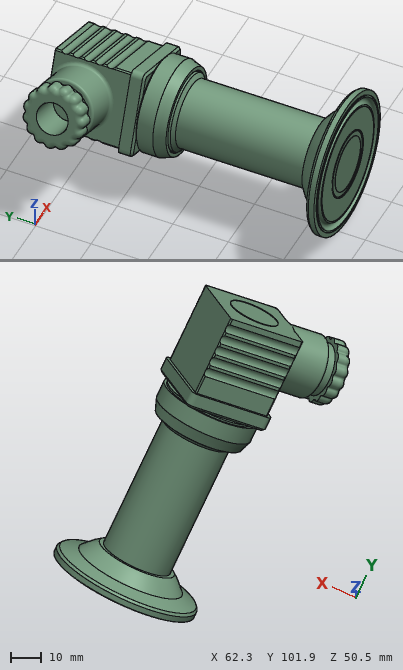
import cadquery as cq
import math

HOUSING_TURN = 20.0

FLANGE_DIA = 50.5
FACE_DIA = 47.1
FACE_HEIGHT = 0.3
RIM_TOP = 2.3
RIM_TOP_SLOPE_DIA = 49.1
RIM_SLOPE_START = 3.3
CLAMP_CONE_DIA = 37.3
CLAMP_CONE_TOP = 5.3
HUB_TOP_DIA = 27.0
HUB_TOP = 10.2
HUB_BULGE = 0.2
STEM_DIA = 24.0
GROOVE_CENTER_DIA = 43.1
GROOVE_RADIUS = 1.3
GROOVE_LEDGE_DIA = 39.3
GROOVE_LEDGE_DEPTH = 0.1
MEMBRANE_OUTER_DIA = 23.5
MEMBRANE_SLOT_INNER_DIA = 22.7
MEMBRANE_SLOT_DEPTH = 0.3
MEMBRANE_DIA = 19.4
MEMBRANE_LEDGE_DEPTH = 0.1

NECK_START = 56.6
NECK_END = 57.7
NECK_DIA = 27.3
COLLAR_START = 58.3
COLLAR_RECESS_DIA = 28.3
COLLAR_RECESS_FLOOR = 58.9
COLLAR_START_DIA = 31.1
COLLAR_DIA = 34.0
COLLAR_CONE_TOP = 62.4
COLLAR_TOP = 68.3
COLLAR_GAP_DIA = 32.1

PLATE_SIDE = 30.2
PLATE_START = 68.9
PLATE_END = 74.0
PLATE_CORNER_RADIUS = 2.0
PLATE_EDGE_CHAMFER = 0.8
HOUSING_SIDE = 27.5
HOUSING_END = 101.7
HOUSING_CHAMFER = 0.5
END_DISC_DIA = 17.1
TOTAL_LENGTH = 101.9

FLUTE_COUNT = 5
FLUTE_PITCH = 4.1
FIRST_FLUTE = 81.8
FLUTE_RADIUS = 2.0
FLUTE_DEPTH = 0.66

GLAND_Y = 90.7
BARREL_DIA = 21.9
BARREL_END = 27.5
BARREL_END_FILLET = 0.8
BARREL_ROOT_FILLET = 1.1
GLAND_NECK_DIA = 18.0
NUT_START = 30.8
NUT_END = 36.0
LOBE_COUNT = 15
LOBE_RADIUS = 2.1
NUT_DIA = 22.4
NUT_VALLEY_DIA = 20.6
NUT_FILLET = 2.0
BORE_DIA = 11.3
BORE_DEPTH = 13.8


def cylinder_y(diameter, start, end):
    """Solid cylinder on the stem axis between two Y positions."""
    return cq.Workplane("XZ", origin=(0, start, 0)).circle(diameter / 2).extrude(start - end)


def cylinder_x(diameter, start, end):
    """Solid cylinder on the gland axis, running outward toward -X."""
    plane = cq.Workplane("YZ", origin=(-start, GLAND_Y, 0))
    return plane.circle(diameter / 2).extrude(start - end)


def face_ring(outer_diameter, inner_diameter, depth):
    """Ring-shaped cutter reaching into the clamp face."""
    return cylinder_y(outer_diameter, 0, depth).cut(cylinder_y(inner_diameter, 0, depth))


def square_block(side, start, end):
    """Square block centred on the stem axis between two Y positions."""
    return cq.Workplane("XZ", origin=(0, start, 0)).rect(side, side).extrude(start - end)


def make_stem():
    """Revolved flange, stem and collar."""
    hub_mid_radius = (CLAMP_CONE_DIA + HUB_TOP_DIA) / 4
    hub_mid_height = (CLAMP_CONE_TOP + HUB_TOP) / 2
    flange_outline = [
        (0, 0),
        (FACE_DIA / 2, 0),
        (FACE_DIA / 2, FACE_HEIGHT),
        (FLANGE_DIA / 2, FACE_HEIGHT),
        (FLANGE_DIA / 2, RIM_TOP),
        (RIM_TOP_SLOPE_DIA / 2, RIM_SLOPE_START),
        (CLAMP_CONE_DIA / 2, CLAMP_CONE_TOP),
    ]
    stem_outline = [
        (STEM_DIA / 2, HUB_TOP),
        (STEM_DIA / 2, NECK_START),
        (NECK_DIA / 2, NECK_END),
        (NECK_DIA / 2, COLLAR_RECESS_FLOOR),
        (COLLAR_RECESS_DIA / 2, COLLAR_RECESS_FLOOR),
        (COLLAR_RECESS_DIA / 2, COLLAR_START),
        (COLLAR_START_DIA / 2, COLLAR_START),
        (COLLAR_DIA / 2, COLLAR_CONE_TOP),
        (COLLAR_DIA / 2, COLLAR_TOP),
        (COLLAR_GAP_DIA / 2, COLLAR_TOP),
        (COLLAR_GAP_DIA / 2, PLATE_START),
        (0, PLATE_START),
    ]
    stem = (
        cq.Workplane("XY")
        .polyline(flange_outline)
        .threePointArc(
            (hub_mid_radius + HUB_BULGE, hub_mid_height + HUB_BULGE),
            (HUB_TOP_DIA / 2, HUB_TOP),
        )
        .polyline(stem_outline, includeCurrent=True)
        .close()
        .revolve(360, (0, 0, 0), (0, 1, 0))
    )

    seal_groove = (
        cq.Workplane("XY")
        .center(GROOVE_CENTER_DIA / 2, 0)
        .circle(GROOVE_RADIUS)
        .revolve(360, (-GROOVE_CENTER_DIA / 2, 0, 0), (-GROOVE_CENTER_DIA / 2, 1, 0))
    )
    stem = stem.cut(seal_groove)
    stem = stem.cut(face_ring(GROOVE_CENTER_DIA, GROOVE_LEDGE_DIA, GROOVE_LEDGE_DEPTH))
    stem = stem.cut(face_ring(MEMBRANE_OUTER_DIA, MEMBRANE_SLOT_INNER_DIA, MEMBRANE_SLOT_DEPTH))
    return stem.cut(face_ring(MEMBRANE_OUTER_DIA, MEMBRANE_DIA, MEMBRANE_LEDGE_DEPTH))


def make_housing():
    """Square connector housing on its base plate, with fluted grip sides."""
    plate = square_block(PLATE_SIDE, PLATE_START, PLATE_END)
    plate = plate.edges("|Y").fillet(PLATE_CORNER_RADIUS)
    plate = plate.faces("<Y").edges().chamfer(PLATE_EDGE_CHAMFER)

    block = square_block(HOUSING_SIDE, PLATE_END, HOUSING_END)
    block = block.edges("|Y").chamfer(HOUSING_CHAMFER)
    flute_offset = HOUSING_SIDE / 2 + FLUTE_RADIUS - FLUTE_DEPTH
    for index in range(FLUTE_COUNT):
        flute_y = FIRST_FLUTE + index * FLUTE_PITCH
        for offset in (flute_offset, -flute_offset):
            flute = (
                cq.Workplane("YZ")
                .center(flute_y, offset)
                .circle(FLUTE_RADIUS)
                .extrude(HOUSING_SIDE, both=True)
            )
            block = block.cut(flute)
    end_disc = cylinder_y(END_DISC_DIA, HOUSING_END, TOTAL_LENGTH)
    return plate.union(block).union(end_disc)


def make_barrel():
    """Gland barrel with a concave flare at its foot, trimmed level with the housing end."""
    radius = BARREL_DIA / 2
    wall = -HOUSING_SIDE / 2
    arc_rise = BARREL_ROOT_FILLET * (1 - math.sqrt(0.5))
    barrel = (
        cq.Workplane("XY", origin=(0, GLAND_Y, 0))
        .moveTo(0, 0)
        .lineTo(0, radius)
        .lineTo(wall, radius)
        .lineTo(wall, radius + BARREL_ROOT_FILLET)
        .threePointArc((wall - arc_rise, radius + arc_rise), (wall - BARREL_ROOT_FILLET, radius))
        .lineTo(-BARREL_END, radius)
        .lineTo(-BARREL_END, 0)
        .close()
        .revolve(360, (0, 0, 0), (1, 0, 0))
    )
    barrel = barrel.faces("<X").edges().fillet(BARREL_END_FILLET)
    trim_block = square_block(3 * BARREL_END, PLATE_END, HOUSING_END)
    return barrel.intersect(trim_block)


def make_lobed_nut():
    """Gland nut with a scalloped grip: lobes joined by small tangent valleys, rounded at the front."""
    half_pitch = math.pi / LOBE_COUNT
    lobe_circle = NUT_DIA / 2 - LOBE_RADIUS
    valley_radius = NUT_VALLEY_DIA / 2
    lobe_center_along = lobe_circle * math.cos(half_pitch)
    lobe_center_across = lobe_circle * math.sin(half_pitch)

    valley_gap = valley_radius - lobe_center_along
    valley_arc = (valley_gap**2 + lobe_center_across**2 - LOBE_RADIUS**2) / (2 * (LOBE_RADIUS - valley_gap))
    lobe_share = LOBE_RADIUS / (LOBE_RADIUS + valley_arc)
    touch_along = lobe_center_along + lobe_share * (valley_gap + valley_arc)
    touch_across = lobe_center_across * (1 - lobe_share)
    touch_radius = math.hypot(touch_along, touch_across)
    touch_angle = math.atan2(touch_across, touch_along)

    def rim_point(radius, angle):
        return (-radius * math.sin(angle), -radius * math.cos(angle))

    outline = cq.Workplane("YZ", origin=(-NUT_START, GLAND_Y, 0))
    outline = outline.moveTo(*rim_point(touch_radius, touch_angle - half_pitch))
    for index in range(LOBE_COUNT):
        lobe_angle = 2 * half_pitch * index
        valley_angle = lobe_angle + half_pitch
        outline = outline.threePointArc(
            rim_point(NUT_DIA / 2, lobe_angle),
            rim_point(touch_radius, valley_angle - touch_angle),
        )
        outline = outline.threePointArc(
            rim_point(valley_radius, valley_angle),
            rim_point(touch_radius, valley_angle + touch_angle),
        )
    nut = outline.close().extrude(NUT_START - NUT_END)
    return nut.faces("<X").edges().fillet(NUT_FILLET)


def make_gland():
    """Barrel, neck and nut of the cable gland."""
    neck = cylinder_x(GLAND_NECK_DIA, 0, NUT_START)
    return make_barrel().union(neck).union(make_lobed_nut())


cable_bore = cylinder_x(BORE_DIA, NUT_END - BORE_DEPTH, NUT_END)
connector = make_housing().union(make_gland()).cut(cable_bore)
connector = connector.rotate((0, 0, 0), (0, 1, 0), HOUSING_TURN)
result = make_stem().union(connector)